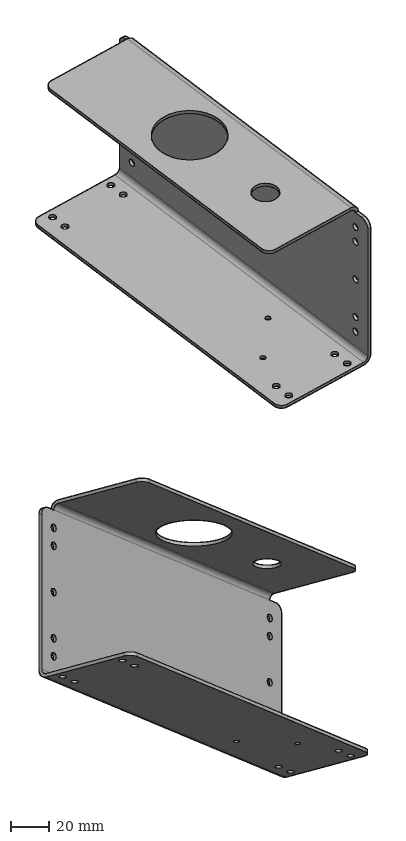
import cadquery as cq

length = 200.0
depth = 62.0
height = 101.0
thickness = 2.0
bend_radius = 5.0
corner_radius = 5.0
top_inset = 10.0

wall_hole_diameter = 4.0
wall_hole_x = length / 2 - 10.0
wall_outer_offset = 35.5
wall_inner_offset = wall_outer_offset - 10.0

base_hole_diameter = 4.0
base_hole_columns = (length / 2 - 5.0, length / 2 - 15.0)
base_hole_rows = (10.0, 50.0)

opening_y = depth / 2
large_diameter = 40.0
large_x = -9.5
small_diameter = 15.0
small_x = 51.5

pair_diameter = 3.0
pair_offset = 11.5


def channel():
    """C-section with rounded bends, open toward -Y and centred along X."""
    outer = cq.Workplane("XY").box(length, depth, height, centered=(True, False, False))
    outer = outer.edges("|X and >Y").fillet(bend_radius)
    inner = cq.Workplane("XY").box(
        length, depth - thickness, height - 2 * thickness, centered=(True, False, False)
    )
    inner = inner.edges("|X and >Y").fillet(bend_radius - thickness)
    return outer.cut(inner.translate((0, 0, thickness)))


def vertical_holes(points, diameter, bottom):
    """Cutters through a flange whose underside is at height bottom."""
    return cq.Workplane("XY", origin=(0, 0, bottom)).pushPoints(points).circle(diameter / 2).extrude(thickness)


def wall_holes():
    """Cutters through the back wall, mirrored about its centre."""
    offsets = (-wall_outer_offset, -wall_inner_offset, 0, wall_inner_offset, wall_outer_offset)
    points = [(x, z) for x in (-wall_hole_x, wall_hole_x) for z in offsets]
    plane = cq.Workplane("XZ", origin=(0, depth, height / 2))
    return plane.pushPoints(points).circle(wall_hole_diameter / 2).extrude(thickness)


result = channel()

for side in (-1, 1):
    notch = cq.Workplane("XY").box(top_inset, depth, bend_radius, centered=(True, False, False))
    notch_x = side * (length - top_inset) / 2
    result = result.cut(notch.translate((notch_x, 0, height - bend_radius)))

result = result.edges("|Z and <Y").fillet(corner_radius)
wall_corners = cq.selectors.BoxSelector(
    (-length, depth - 2 * thickness, height - bend_radius - thickness),
    (length, depth + thickness, height - bend_radius + thickness),
)
end_corners = result.edges("|Y").edges(wall_corners).edges("<X or >X")
result = end_corners.fillet(corner_radius)

base_points = [(side * x, y) for side in (-1, 1) for x in base_hole_columns for y in base_hole_rows]
pair_points = [(small_x + side * pair_offset, opening_y - side * pair_offset) for side in (-1, 1)]
result = result.cut(wall_holes())
result = result.cut(vertical_holes(base_points, base_hole_diameter, 0))
result = result.cut(vertical_holes(pair_points, pair_diameter, 0))
result = result.cut(vertical_holes([(large_x, opening_y)], large_diameter, height - thickness))
result = result.cut(vertical_holes([(small_x, opening_y)], small_diameter, height - thickness))